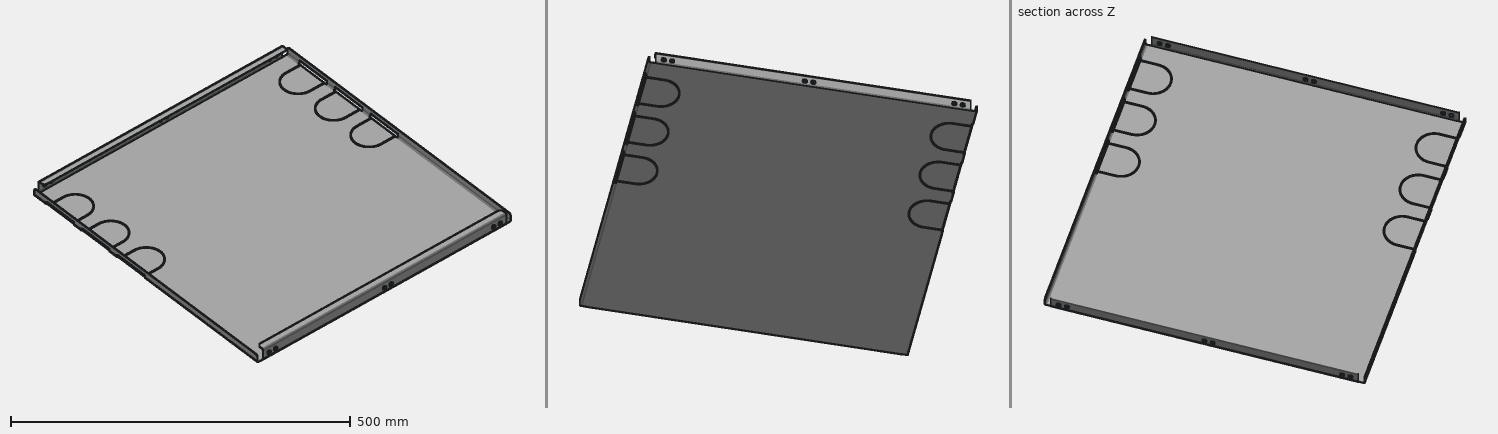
import cadquery as cq

length_x = 506.4
width_y = 494.0
height_z = 22.2

sheet = 1.2
bend_outer = 2.4
bend_inner = bend_outer - sheet

side_wall_length = 474.0
lip_width = 13.0
lip_corner_radius = 6.5

end_wall_length = 503.0
end_wall_height = 14.5
end_wall_corner_radius = 4.0

fixing_hole_diameter = 6.6
fixing_hole_height = 9.0
fixing_hole_pitch = 12.7
fixing_pair_centres_y = (-218.5, fixing_hole_pitch / 2, 218.5)

tongue_count = 3
tongue_pitch = 80.0
first_tongue_x = -193.4
tongue_width = 54.2
tongue_arc_centre_y = 216.8
slit_width = 1.2
bridge_width = 1.5

opening_width = 62.5
opening_top = 5.7
opening_reach = 2.5


def block(size_x, size_y, bottom, top, centre_x=0.0, centre_y=0.0):
    """Upright block centred on (centre_x, centre_y) between two levels."""
    solid = cq.Workplane("XY").box(size_x, size_y, top - bottom, centered=(True, True, False))
    return solid.translate((centre_x, centre_y, bottom))


def side_channel():
    """Floor, side walls and lips, folded as one C-shaped channel along Y."""
    outer = block(length_x, side_wall_length, 0, height_z)
    outer = outer.edges("|Y").fillet(bend_outer)
    inner = block(length_x - 2 * sheet, side_wall_length, sheet, height_z - sheet)
    inner = inner.edges("|Y").fillet(bend_inner)
    mouth = block(length_x - 2 * lip_width, side_wall_length, height_z - sheet, height_z)
    mouth_corners = cq.selectors.BoxSelector(
        (-length_x / 2 + lip_width / 2, -width_y / 2, height_z - sheet),
        (length_x / 2 - lip_width / 2, width_y / 2, height_z),
    )
    channel = outer.cut(inner).cut(mouth)
    return channel.edges("|Z").edges(mouth_corners).fillet(lip_corner_radius)


def end_channel():
    """Floor and end walls, folded as one U-shaped channel along X."""
    outer = block(end_wall_length, width_y, 0, end_wall_height)
    outer = outer.edges("|X and <Z").fillet(bend_outer)
    outer = outer.edges("|Y and >Z").fillet(end_wall_corner_radius)
    inner = block(end_wall_length, width_y - 2 * sheet, sheet, end_wall_height)
    inner = inner.edges("|X and <Z").fillet(bend_inner)
    return outer.cut(inner)


def fixing_holes():
    """Pairs of round drills that pass through both side walls."""
    points = []
    for centre_y in fixing_pair_centres_y:
        for side in (-1, 1):
            points.append((centre_y + side * fixing_hole_pitch / 2, fixing_hole_height))
    drills = cq.Workplane("YZ").pushPoints(points).circle(fixing_hole_diameter / 2)
    return drills.extrude(length_x / 2, both=True)


def tongue_plate(width, centre_x):
    """Round-nosed plate through the floor, running out to the +Y edge."""
    half = width / 2
    straight = width_y / 2 - tongue_arc_centre_y
    outline = (
        cq.Workplane("XY")
        .center(centre_x, tongue_arc_centre_y)
        .moveTo(-half, straight)
        .lineTo(-half, 0)
        .threePointArc((0, -half), (half, 0))
        .lineTo(half, straight)
        .close()
    )
    return outline.extrude(sheet)


def knock_out(centre_x):
    """Slit around one tongue at the +Y wall, with the opening in the wall foot."""
    slit = tongue_plate(tongue_width + slit_width, centre_x)
    slit = slit.cut(tongue_plate(tongue_width - slit_width, centre_x))
    tip_y = tongue_arc_centre_y - tongue_width / 2
    bridge = block(bridge_width, 4 * slit_width, 0, sheet, centre_x, tip_y)
    opening = block(opening_width, 2 * opening_reach, 0, opening_top, centre_x, width_y / 2)
    return slit.cut(bridge).union(opening)


result = side_channel().union(end_channel()).cut(fixing_holes())
for index in range(tongue_count):
    cutter = knock_out(first_tongue_x + index * tongue_pitch)
    result = result.cut(cutter).cut(cutter.mirror("XZ"))